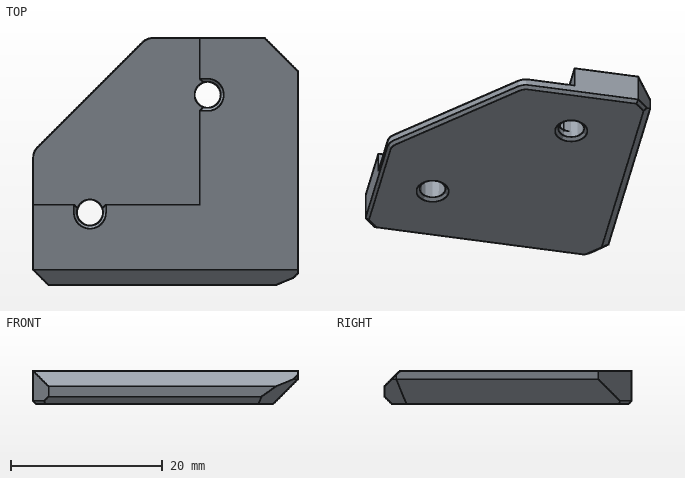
import cadquery as cq

length_x = 34.9
length_y = 32.55
thickness = 4.4

nose_top_bevel = 2.05
nose_bottom_bevel = 1.0

lip_height = 1.1
lip_corner_drop = 0.5
undercut = thickness - lip_height

back_right_chamfer = 4.4
back_left_chamfer = 15.0
back_left_radius = 2.0
front_right_chamfer = nose_top_bevel - lip_corner_drop

edge_break = 0.42

recess_depth = 3.0
recess_side = 21.95
recess_floor = thickness - recess_depth
recess_front_y = length_y - recess_side

hole_diameter = 3.4
hole_radius = hole_diameter / 2
hole_wall_offset = 1.05
hole_end_distance = 7.5

overshoot = 10.0
cutter_span = 2 * (length_x + length_y)


def make_plate():
    """Cornered plate with a small chamfer around its underside."""
    plate = (
        cq.Workplane("XY")
        .moveTo(nose_top_bevel, 0)
        .lineTo(length_x - front_right_chamfer, 0)
        .lineTo(length_x, front_right_chamfer)
        .lineTo(length_x, length_y - back_right_chamfer)
        .lineTo(length_x - back_right_chamfer, length_y)
        .lineTo(back_left_chamfer, length_y)
        .lineTo(0, length_y - back_left_chamfer)
        .lineTo(0, nose_top_bevel)
        .close()
        .extrude(thickness)
    )
    for x, y in ((back_left_chamfer, length_y), (0, length_y - back_left_chamfer)):
        corner_edge = cq.selectors.NearestToPointSelector((x, y, thickness / 2))
        plate = plate.edges("|Z").edges(corner_edge).fillet(back_left_radius)
    return plate.faces("<Z").edges().chamfer(edge_break)


def nose_bevel_cutter(face_z, inward, size):
    """Prism along X that bevels the front edge next to the face at height face_z."""
    profile = [(0, face_z), (size, face_z), (0, face_z + inward * size)]
    return cq.Workplane("YZ").polyline(profile).close().extrude(length_x)


def undercut_cutter(x, y, angle):
    """Wedge under the lip at (x, y), whose outward direction is at angle from +X."""
    profile = [(0, undercut), (-undercut, 0), (overshoot, 0), (overshoot, undercut)]
    wedge = cq.Workplane("XZ").polyline(profile).close().extrude(cutter_span / 2, both=True)
    return wedge.rotate((0, 0, 0), (0, 0, 1), angle).translate((x, y, 0))


def recess_cutter():
    """Square recess that is open to the left and to the back."""
    return (
        cq.Workplane("XY")
        .box(recess_side + overshoot, recess_side + overshoot, thickness, centered=False)
        .translate((-overshoot, recess_front_y, recess_floor))
    )


def screw_hole_cutter():
    """Through hole with a slot that opens onto a recess wall.

    The wall lies on X = 0, with the recess on the -X side. The slot is chamfered
    along its top rim and along its two upright edges at the wall. The hole is
    countersunk at both ends.
    """
    outer_radius = hole_radius + edge_break
    hole = cq.Workplane("XY").center(hole_wall_offset, 0).circle(hole_radius).extrude(thickness)
    slot = (
        cq.Workplane("XY")
        .box(hole_wall_offset, hole_diameter, recess_depth, centered=(False, True, False))
        .translate((0, 0, recess_floor))
    )
    mouth = (
        cq.Workplane("XY", origin=(0, 0, recess_floor))
        .polyline([
            (0, -outer_radius),
            (edge_break, -hole_radius),
            (edge_break, hole_radius),
            (0, outer_radius),
        ])
        .close()
        .extrude(recess_depth)
    )
    rim_profile = [
        (-hole_radius, thickness - edge_break),
        (hole_radius, thickness - edge_break),
        (outer_radius, thickness),
        (-outer_radius, thickness),
    ]
    rim = cq.Workplane("YZ").polyline(rim_profile).close().extrude(hole_wall_offset)
    top_start = cq.Vector(hole_wall_offset, 0, thickness - edge_break)
    top_countersink = cq.Solid.makeCone(hole_radius, outer_radius, edge_break, pnt=top_start)
    bottom_start = cq.Vector(hole_wall_offset, 0, 0)
    bottom_countersink = cq.Solid.makeCone(outer_radius, hole_radius, edge_break, pnt=bottom_start)
    cutter = hole.union(slot).union(mouth).union(rim)
    return cutter.union(cq.Workplane(top_countersink)).union(cq.Workplane(bottom_countersink))


result = make_plate()

result = result.cut(nose_bevel_cutter(thickness, -1, nose_top_bevel))
result = result.cut(nose_bevel_cutter(0, 1, nose_bottom_bevel))

result = result.cut(undercut_cutter(length_x, length_y / 2, 0))
result = result.cut(undercut_cutter(length_x, front_right_chamfer, -45))

result = result.cut(recess_cutter())
right_hole = screw_hole_cutter().translate((recess_side, length_y - hole_end_distance, 0))
front_hole = screw_hole_cutter().rotate((0, 0, 0), (0, 0, 1), -90)
front_hole = front_hole.translate((hole_end_distance, recess_front_y, 0))
result = result.cut(right_hole).cut(front_hole)